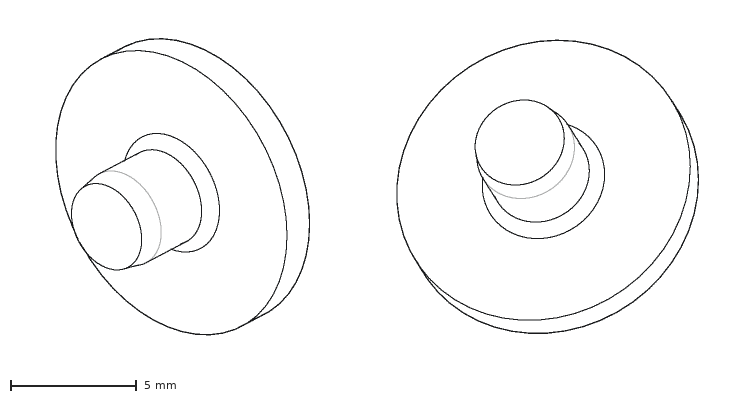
import cadquery as cq
import math

disc_diameter = 12.0
disc_thickness = 1.4
overall_length = 5.4
pin_diameter = 4.0
root_cone_length = 0.5
tip_length = 1.0
tip_taper_angle = 10.0

disc_radius = disc_diameter / 2
pin_radius = pin_diameter / 2
root_radius = pin_radius + root_cone_length
tip_radius = pin_radius - tip_length * math.tan(math.radians(tip_taper_angle))

disc_face_y = -disc_thickness
root_end_y = disc_face_y - root_cone_length
tip_end_y = -overall_length
tip_start_y = tip_end_y + tip_length

half_section = [
    (0, 0),
    (disc_radius, 0),
    (disc_radius, disc_face_y),
    (root_radius, disc_face_y),
    (pin_radius, root_end_y),
    (pin_radius, tip_start_y),
    (tip_radius, tip_end_y),
    (0, tip_end_y),
]
result = cq.Workplane("XY").polyline(half_section).close().revolve(360, (0, 0, 0), (0, 1, 0))